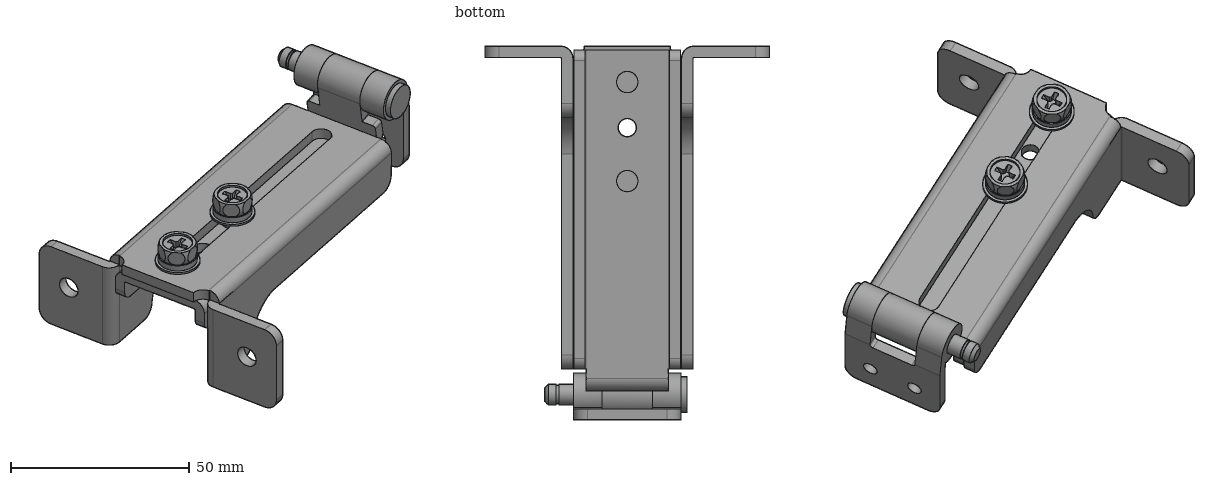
import cadquery as cq
import math

bracket_sheet = 3.3
hinge_sheet = 3.2
bend_outer = 3.5
bracket_bend_inner = bend_outer - bracket_sheet
hinge_bend_inner = bend_outer - hinge_sheet
corner_radius = 4.0

bracket_length = 90.7
bracket_height = 30.0
bracket_half = 18.5
bracket_inner_half = bracket_half - bracket_sheet
wing_half_span = 40.0
wing_height = bracket_height - bracket_sheet
wing_hole_x = 30.0
wing_hole_z = 15.0
wing_hole_diameter = 6.2
relief_radius = 3.2
flange_bottom = 15.0
foot_depth = 20.1
sweep_start = 30.3
sweep_radius = 12.8
slot_width = 6.0
slot_rear = 85.9

slide_top = bracket_height - bracket_sheet
slide_bottom = slide_top - hinge_sheet
slide_front = 1.0
slide_half = 15.0
slide_flange_bottom = 17.0
slide_flange_corner = 2.9
tab_half = 11.5
shoulder_z = 31.5
shoulder_radius = 0.9
middle_knuckle_half = 7.1
index_hole_y = 22.9
index_hole_diameter = 5.0

leaf_rear = 105.0
leaf_bottom = 12.4
leaf_half = 15.1
leaf_notch_z = 31.5
leaf_notch_radius = 0.9
leaf_hole_x = 7.0
leaf_hole_z = 20.5
leaf_hole_diameter = 4.3
pin_radius = 2.9
knuckle_radius = pin_radius + hinge_sheet
overall_height = 45.4
axis_y = 97.9
axis_z = overall_height - knuckle_radius
slide_lean = math.radians(9.3)
leaf_lean = math.radians(8.2)

pin_tip_x = -23.2
pin_tip_chamfer = 1.0
pin_head_radius = 5.0
pin_head_length = 1.7
groove_x = -20.0
groove_width = 0.7
groove_depth = 0.3

screw_ys = [10.1, 37.9]
shank_radius = slot_width / 2
shank_end_z = 22.5
flat_washer_radius = 6.3
flat_washer_thickness = 0.6
spring_washer_diameter = 11.0
spring_washer_thickness = 1.8
head_height = 4.2
head_across_flats = 10.1
head_round_radius = 5.6
dish_radius = 4.2
dish_depth = 0.6
cross_length = 5.9
cross_width = 1.3
cross_floor_length = 3.4
cross_depth = 2.1

flat_washer_z = bracket_height
spring_washer_z = flat_washer_z + flat_washer_thickness
head_z = spring_washer_z + spring_washer_thickness


def extrude_along_x(sketch, half_width):
    """Extrude a (Y, Z) outline symmetrically about X = 0."""
    return sketch.extrude(half_width, both=True)


def cylinder_z(x, y, radius, z_low, z_high):
    return cq.Workplane("XY", origin=(x, y, z_low)).circle(radius).extrude(z_high - z_low)


def cylinder_x(radius, x_low, x_high):
    """Cylinder on the hinge axis."""
    return cq.Workplane("YZ", origin=(x_low, axis_y, axis_z)).circle(radius).extrude(x_high - x_low)


def cylinder_y(x, z, diameter, y_low, y_high):
    return cq.Workplane("XZ", origin=(x, y_high, z)).circle(diameter / 2).extrude(y_high - y_low)


def channel(sheet, half_width, z_low, z_high, y_low, y_high):
    """Downward-open sheet metal channel with rounded bends."""
    depth = z_high - z_low
    length = y_high - y_low
    outer = (
        cq.Workplane("XY")
        .box(2 * half_width, length, depth, centered=(True, False, False))
        .edges("|Y and >Z")
        .fillet(bend_outer)
    )
    inner = (
        cq.Workplane("XY")
        .box(2 * (half_width - sheet), length, depth - sheet, centered=(True, False, False))
        .edges("|Y and >Z")
        .fillet(bend_outer - sheet)
    )
    return outer.cut(inner).translate((0, y_low, z_low))


def strip_point_at_z(lean, offset, z):
    """Point (Y, Z) at height z on the leaning line at the given offset from the hinge axis towards +Y."""
    rise = (z - axis_z - offset * math.sin(lean)) / math.cos(lean)
    return (axis_y + offset * math.cos(lean) - rise * math.sin(lean), z)


def strip_tangent_point(lean, offset):
    """Point (Y, Z) of that line nearest to the hinge axis."""
    return (axis_y + offset * math.cos(lean), axis_z + offset * math.sin(lean))


def nearest_edge(x, yz):
    return cq.NearestToPointSelector((x, yz[0], yz[1]))


def flange_underside_cut():
    """Outline below the flanges: foot corner, concave sweep and rear corner."""
    diagonal = math.sqrt(0.5)
    foot_center = (foot_depth - corner_radius, corner_radius)
    rear_center = (bracket_length - corner_radius, flange_bottom + corner_radius)
    outline = (
        cq.Workplane("YZ")
        .moveTo(foot_center[0], 0)
        .threePointArc(
            (foot_center[0] + corner_radius * diagonal, foot_center[1] - corner_radius * diagonal),
            (foot_depth, corner_radius),
        )
        .radiusArc((sweep_start, flange_bottom), sweep_radius)
        .lineTo(rear_center[0], flange_bottom)
        .threePointArc(
            (rear_center[0] + corner_radius * diagonal, rear_center[1] - corner_radius * diagonal),
            (bracket_length, rear_center[1]),
        )
        .lineTo(bracket_length, 0)
        .close()
    )
    return extrude_along_x(outline, bracket_half)


def wing(side):
    """Wing with its bend and the front part of the flange it grows from; side is -1 or 1."""
    inner = bracket_inner_half
    bend_end = inner + bend_outer
    diagonal = 1 - math.sqrt(0.5)
    body = (
        cq.Workplane("XY")
        .moveTo(inner, foot_depth / 2)
        .lineTo(inner, bend_outer)
        .threePointArc((inner + bend_outer * diagonal, bend_outer * diagonal), (bend_end, 0))
        .lineTo(wing_half_span, 0)
        .lineTo(wing_half_span, bracket_sheet)
        .lineTo(bend_end, bracket_sheet)
        .threePointArc(
            (bracket_half + bracket_bend_inner * diagonal, bracket_sheet + bracket_bend_inner * diagonal),
            (bracket_half, bend_outer),
        )
        .lineTo(bracket_half, foot_depth / 2)
        .close()
        .extrude(wing_height)
        .edges("|Y and >X")
        .fillet(corner_radius)
        .cut(cylinder_y(wing_hole_x, wing_hole_z, wing_hole_diameter, 0, bracket_sheet))
    )
    return body if side > 0 else body.mirror("YZ")


def make_bracket():
    body = channel(bracket_sheet, bracket_half, 0, bracket_height, 0, bracket_length)
    body = body.cut(flange_underside_cut())
    for side in (-1, 1):
        flange_front = cq.Workplane("XY").box(
            bracket_sheet, bend_outer, bracket_height, centered=(True, False, False)
        )
        flange_middle = side * (bracket_inner_half + bracket_sheet / 2)
        body = body.cut(flange_front.translate((flange_middle, 0, 0)))
        body = body.cut(cylinder_z(side * bracket_inner_half, 0, relief_radius, 0, bracket_height))
        body = body.union(wing(side))
    slot_front = screw_ys[0] - slot_width / 2
    slot = (
        cq.Workplane("XY", origin=(0, (slot_front + slot_rear) / 2, slide_top))
        .slot2D(slot_rear - slot_front, slot_width, 90)
        .extrude(bracket_sheet)
    )
    return body.cut(slot)


def make_slide():
    body = channel(hinge_sheet, slide_half, slide_flange_bottom, slide_top, slide_front, bracket_length)
    body = body.edges("|X and <Z").fillet(slide_flange_corner)

    front_corner = strip_point_at_z(slide_lean, -knuckle_radius, slide_top)
    rear_corner = strip_point_at_z(slide_lean, -pin_radius, slide_bottom)
    shoulder_front = strip_point_at_z(slide_lean, -knuckle_radius, shoulder_z)
    shoulder_rear = (
        shoulder_front[0] + hinge_sheet * math.cos(slide_lean),
        shoulder_front[1] + hinge_sheet * math.sin(slide_lean),
    )
    shoulder_middle = (
        (shoulder_front[0] + shoulder_rear[0]) / 2,
        (shoulder_front[1] + shoulder_rear[1]) / 2,
    )
    tab_start = bracket_length - hinge_sheet
    tab_outline = cq.Workplane("YZ").polyline(
        [
            (tab_start, slide_top),
            front_corner,
            shoulder_front,
            shoulder_rear,
            rear_corner,
            (tab_start, slide_bottom),
        ]
    )
    tab = extrude_along_x(tab_outline.close(), tab_half)
    tab = tab.edges(nearest_edge(0, front_corner)).fillet(hinge_bend_inner)
    tab = tab.edges(nearest_edge(0, rear_corner)).fillet(bend_outer)
    for side in (-1, 1):
        tab = tab.edges(nearest_edge(side * tab_half, shoulder_middle)).fillet(shoulder_radius)

    neck_outline = cq.Workplane("YZ").polyline(
        [
            shoulder_front,
            strip_tangent_point(slide_lean, -knuckle_radius),
            strip_tangent_point(slide_lean, -pin_radius),
            shoulder_rear,
        ]
    )
    neck = extrude_along_x(neck_outline.close(), middle_knuckle_half)
    knuckle = cylinder_x(knuckle_radius, -middle_knuckle_half, middle_knuckle_half)
    body = body.union(tab).union(neck).union(knuckle)

    body = body.cut(cylinder_x(pin_radius, -middle_knuckle_half, middle_knuckle_half))
    body = body.cut(cylinder_z(0, index_hole_y, index_hole_diameter / 2, slide_bottom, slide_top))
    for screw_y in screw_ys:
        body = body.cut(cylinder_z(0, screw_y, shank_radius, slide_bottom, slide_top))
    return body


def make_leaf():
    leaf_front = leaf_rear - hinge_sheet
    outer_run = (leaf_rear - strip_tangent_point(leaf_lean, knuckle_radius)[0]) / math.tan(leaf_lean)
    outer_bend_z = strip_tangent_point(leaf_lean, knuckle_radius)[1] - outer_run
    inner_bend_z = outer_bend_z - hinge_sheet * math.tan(leaf_lean / 2)
    outline = cq.Workplane("YZ").polyline(
        [
            (leaf_rear, leaf_bottom),
            (leaf_rear, outer_bend_z),
            strip_tangent_point(leaf_lean, knuckle_radius),
            strip_tangent_point(leaf_lean, pin_radius),
            (leaf_front, inner_bend_z),
            (leaf_front, leaf_bottom),
        ]
    )
    body = extrude_along_x(outline.close(), leaf_half)
    body = body.edges("|Y and <Z").fillet(corner_radius)
    body = body.union(cylinder_x(knuckle_radius, -leaf_half, leaf_half))
    notch = (
        cq.Workplane("XY", origin=(0, axis_y, leaf_notch_z))
        .box(2 * middle_knuckle_half, 4 * knuckle_radius, 4 * knuckle_radius, centered=(True, True, False))
        .edges("|Y and <Z")
        .fillet(leaf_notch_radius)
    )
    body = body.cut(notch).cut(cylinder_x(pin_radius, -leaf_half, leaf_half))
    for side in (-1, 1):
        hole = cylinder_y(side * leaf_hole_x, leaf_hole_z, leaf_hole_diameter, leaf_front, leaf_rear)
        body = body.cut(hole)
    return body


def make_pin():
    shaft = cylinder_x(pin_radius, pin_tip_x, leaf_half).faces("<X").chamfer(pin_tip_chamfer)
    groove = cylinder_x(pin_radius, groove_x, groove_x + groove_width)
    groove = groove.cut(cylinder_x(pin_radius - groove_depth, groove_x, groove_x + groove_width))
    head = cylinder_x(pin_head_radius, leaf_half, leaf_half + pin_head_length)
    return shaft.cut(groove).union(head)


def make_washer(y, radius, z_low, thickness):
    ring = cylinder_z(0, y, radius, z_low, z_low + thickness)
    return ring.cut(cylinder_z(0, y, shank_radius, z_low, z_low + thickness))


def cross_recess(floor_z, y):
    """Cross with arms that slope down to a small square floor."""
    bottom = floor_z - cross_depth
    arm = (
        cq.Workplane("XZ")
        .polyline(
            [
                (-cross_length / 2, floor_z),
                (cross_length / 2, floor_z),
                (cross_floor_length / 2, bottom),
                (-cross_floor_length / 2, bottom),
            ]
        )
        .close()
        .extrude(cross_width / 2, both=True)
    )
    core_side = cross_floor_length / math.sqrt(2)
    core = (
        cq.Workplane("XY", origin=(0, 0, bottom))
        .rect(core_side, core_side)
        .extrude(cross_depth)
        .rotate((0, 0, 0), (0, 0, 1), 45)
    )
    crossing_arm = arm.rotate((0, 0, 0), (0, 0, 1), 90)
    return arm.union(crossing_arm).union(core).translate((0, y, 0))


def make_screw(y):
    """Dished hexagon screw: the flats cut a ball-shaped head, so each shows as a disc."""
    head_top = head_z + head_height
    hexagon = (
        cq.Workplane("XY", origin=(0, y, head_z))
        .polygon(6, head_across_flats, circumscribed=True)
        .extrude(head_height)
    )
    ball = cq.Workplane("XY", origin=(0, y, head_z + head_height / 2)).sphere(head_round_radius)
    dish_floor = head_top - dish_depth
    head = hexagon.intersect(ball).cut(cylinder_z(0, y, dish_radius, dish_floor, head_top))
    shank = cylinder_z(0, y, shank_radius, shank_end_z, head_z)
    return head.union(shank).cut(cross_recess(dish_floor, y))


bracket = make_bracket()
slide = make_slide()
leaf = make_leaf()
pin = make_pin()

fasteners = []
for screw_y in screw_ys:
    flat_washer = make_washer(screw_y, flat_washer_radius, flat_washer_z, flat_washer_thickness)
    spring_washer = make_washer(
        screw_y, spring_washer_diameter / 2, spring_washer_z, spring_washer_thickness
    )
    screw = make_screw(screw_y)
    fasteners += [flat_washer.val(), spring_washer.val(), screw.val()]

result = cq.Compound.makeCompound([bracket.val(), slide.val(), leaf.val(), pin.val(), *fasteners])